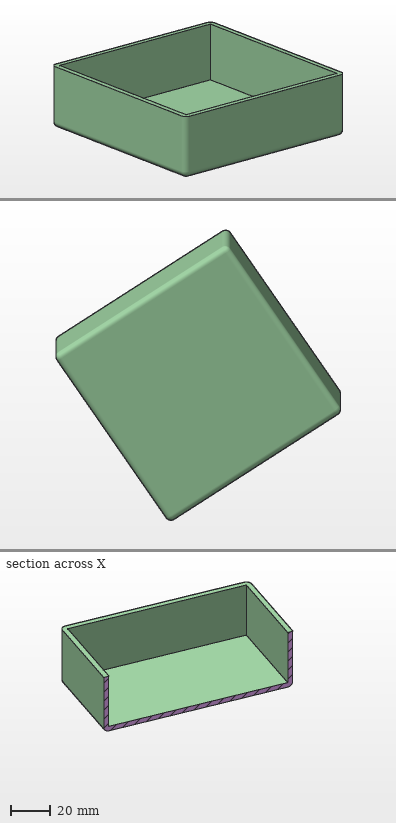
import cadquery as cq

cavity_side = 100.0
cavity_depth = 30.0
wall_thickness = 3.0
edge_radius = 3.0

outer_side = cavity_side + 2 * wall_thickness
outer_height = cavity_depth + wall_thickness


def rounded_body():
    """Square block standing on Z = 0, rounded everywhere except at the rim."""
    block = cq.Workplane("XY").box(outer_side, outer_side, outer_height, centered=(True, True, False))
    return block.edges("|Z or <Z").fillet(edge_radius)


def cavity():
    """Sharp-cornered square pocket, open at the top."""
    return (
        cq.Workplane("XY")
        .workplane(offset=wall_thickness)
        .rect(cavity_side, cavity_side)
        .extrude(cavity_depth)
    )


result = rounded_body().cut(cavity())